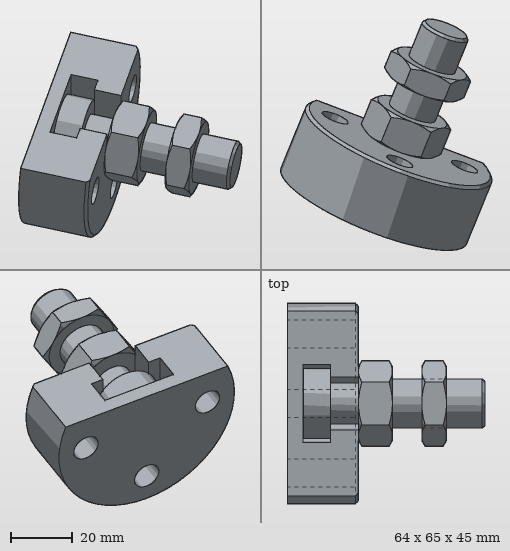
import cadquery as cq
import math


plate_diameter = 65.0
plate_thickness = 23.0
plate_flat_height = 12.5
plate_chamfer = 1.0
bolt_circle_diameter = 45.0
bolt_hole_diameter = 9.0
bolt_hole_angles = (0.0, 180.0, 270.0)

slot_floor = 5.0
slot_shoulder = 14.0
slot_head_width = 25.4
slot_neck_width = 17.0

head_diameter = 22.8
head_clearance = 0.2
neck_diameter = 13.4
shank_diameter = 16.0
shank_tip_diameter = 14.38
shank_chamfer_length = 1.0
stud_end = 64.0

hex_sides = 6
hex_across_flats = 24.0
hex_across_corners = hex_across_flats / math.cos(math.pi / hex_sides)
hex_chamfer_angle = 30.0
hex_chamfer_diameter = hex_across_flats
stud_hex_length = 11.0
nut_start = 43.5
nut_length = 8.0


def cylinder(diameter, start, end):
    """Cylinder on the stud axis between two X positions."""
    return cq.Workplane("YZ", origin=(start, 0, 0)).circle(diameter / 2).extrude(end - start)


def rounded_slot(width, start, end):
    """Slot with a half-round bottom on the stud axis, open at the flat."""
    half = width / 2
    return (
        cq.Workplane("YZ", origin=(start, 0, 0))
        .moveTo(-half, plate_flat_height)
        .lineTo(-half, 0)
        .threePointArc((0, -half), (half, 0))
        .lineTo(half, plate_flat_height)
        .close()
        .extrude(end - start)
    )


def chamfered_hexagon(start, length):
    """Hexagon with flats facing up and down and corners turned to a cone at both ends."""
    prism = cq.Workplane("YZ", origin=(start, 0, 0)).polygon(hex_sides, hex_across_corners).extrude(length)

    end_radius = hex_chamfer_diameter / 2
    corner_radius = hex_across_corners / 2
    cone_length = (corner_radius - end_radius) * math.tan(math.radians(hex_chamfer_angle))
    envelope = (
        cq.Workplane("XY")
        .moveTo(start, 0)
        .lineTo(start, end_radius)
        .lineTo(start + cone_length, corner_radius)
        .lineTo(start + length - cone_length, corner_radius)
        .lineTo(start + length, end_radius)
        .lineTo(start + length, 0)
        .close()
        .revolve(360, (0, 0, 0), (1, 0, 0))
    )
    return prism.intersect(envelope)


def make_plate():
    """Plate with its top flat, T-slot and bolt holes."""
    disc = cylinder(plate_diameter, 0, plate_thickness).faces(">X").edges().chamfer(plate_chamfer)
    kept_height = plate_flat_height + plate_diameter / 2
    below_flat = (
        cq.Workplane("XY")
        .box(plate_thickness, plate_diameter, kept_height, centered=(False, True, False))
        .translate((0, 0, -plate_diameter / 2))
    )
    plate = disc.intersect(below_flat)

    plate = plate.cut(rounded_slot(slot_head_width, slot_floor, slot_shoulder))
    plate = plate.cut(rounded_slot(slot_neck_width, slot_shoulder, plate_thickness))

    bolt_circle_radius = bolt_circle_diameter / 2
    for angle in bolt_hole_angles:
        y = bolt_circle_radius * math.cos(math.radians(angle))
        z = bolt_circle_radius * math.sin(math.radians(angle))
        plate = plate.cut(cylinder(bolt_hole_diameter, 0, plate_thickness).translate((0, y, z)))
    return plate


def make_stud():
    """One-piece stud: head, neck, hexagon and shank with a chamfered tip."""
    hex_end = plate_thickness + stud_hex_length
    head = cylinder(head_diameter, slot_floor + head_clearance, slot_shoulder)
    neck = cylinder(neck_diameter, slot_shoulder, plate_thickness)
    hexagon = chamfered_hexagon(plate_thickness, stud_hex_length)
    shank = (
        cq.Workplane("XY")
        .moveTo(hex_end, 0)
        .lineTo(hex_end, shank_diameter / 2)
        .lineTo(stud_end - shank_chamfer_length, shank_diameter / 2)
        .lineTo(stud_end, shank_tip_diameter / 2)
        .lineTo(stud_end, 0)
        .close()
        .revolve(360, (0, 0, 0), (1, 0, 0))
    )
    return head.union(neck).union(hexagon).union(shank)


def make_nut():
    """Hexagon nut whose plain bore fits the shank."""
    bore = cylinder(shank_diameter, nut_start, nut_start + nut_length)
    return chamfered_hexagon(nut_start, nut_length).cut(bore)


plate = make_plate()
stud = make_stud()
nut = make_nut()

result = cq.Compound.makeCompound([plate.val(), stud.val(), nut.val()])